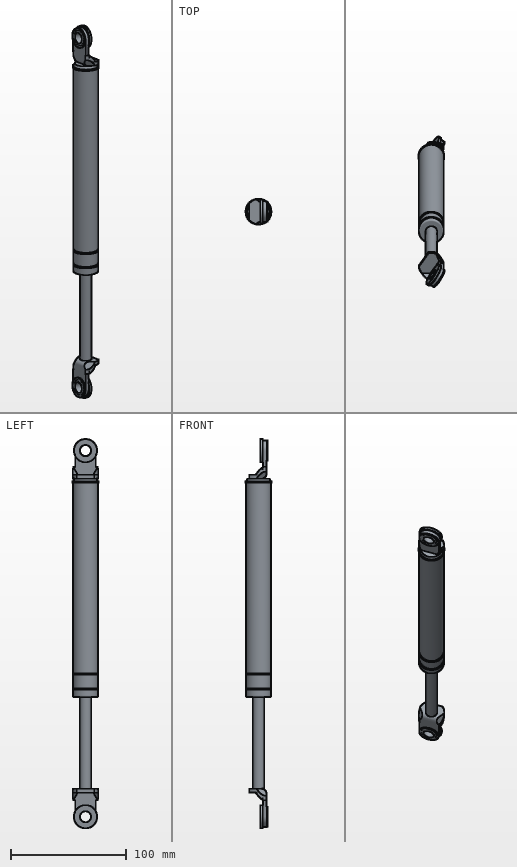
import cadquery as cq

total_length = 336.0
mid_height = total_length / 2

tube_radius = 10.92
tube_bottom = 113.2
shoulder_width = 2.7
shoulder_height = 1.5
collar_radius = 11.25
collar_bottom = 298.0
collar_width = 1.5
bottom_round = 1.5
groove_heights = (120.3, 133.0)
groove_width = 1.5
groove_depth = 0.5

rod_radius = 5.0

flange_radius = 10.0
flange_thickness = 2.5
lip_radius = 8.7
lip_thickness = 1.0
barrel_radius = 6.7
eye_radius = 4.7
eye_height = total_length - flange_radius

sheet = 3.5
base_bottom = 301.7
base_top = base_bottom + sheet
base_radius = 11.0
base_left = -8.0
plate_outer = 7.0
plate_inner = plate_outer - sheet
plate_half_width = 8.9
bend_radius = 4.5
foot_height = 10.0
inner_ear_start = 6.7
outer_ear_start = 5.0
ear_reach_per_y = 1.5
ear_rise_per_y = 1.7
ear_end = 13.5

bracket_low = total_length - base_bottom


def disc_along_x(radius, x_start, x_end):
    """Disc centred on the eye axis."""
    return (
        cq.Workplane("YZ", origin=(x_start, 0, eye_height))
        .circle(radius)
        .extrude(x_end - x_start)
    )


def block(x_start, x_end, half_width, z_start, z_end):
    """Box centred on Y = 0."""
    return (
        cq.Workplane("XY", origin=(0, 0, z_start))
        .moveTo(x_start, -half_width)
        .lineTo(x_end, -half_width)
        .lineTo(x_end, half_width)
        .lineTo(x_start, half_width)
        .close()
        .extrude(z_end - z_start)
    )


def ear_corner(corner_x, corner_z, ear_start):
    """Pyramid that cuts off the end of the bend corner on the +Y side."""
    length = ear_end - ear_start
    apex = cq.Vector(corner_x, ear_start, corner_z)
    corner = cq.Vector(corner_x, ear_end, corner_z)
    reach = cq.Vector(corner_x - ear_reach_per_y * length, ear_end, corner_z)
    rise = cq.Vector(corner_x, ear_end, corner_z + ear_rise_per_y * length)
    triangles = (
        (apex, corner, reach),
        (apex, rise, corner),
        (apex, reach, rise),
        (corner, rise, reach),
    )
    faces = [cq.Face.makeFromWires(cq.Wire.makePolygon(t, close=True)) for t in triangles]
    return cq.Workplane(obj=cq.Solid.makeSolid(cq.Shell.makeShell(faces)))


def cut_ear_corners(body, corner_x, corner_z, ear_start):
    corner = ear_corner(corner_x, corner_z, ear_start)
    return body.cut(corner).cut(corner.mirror("XZ"))


def make_bracket():
    """Upper bracket: round base, folded corner and rounded plate."""
    outside = block(base_left, plate_outer, ear_end, base_bottom, total_length)
    outside = outside.edges("|Y").edges(">X").edges("<Z").fillet(bend_radius)
    outside = cut_ear_corners(outside, plate_outer, base_bottom, outer_ear_start)

    inside = block(base_left, plate_inner, ear_end, base_top, total_length)
    inside = cut_ear_corners(inside, plate_inner, base_top, inner_ear_start)

    foot = (
        cq.Workplane("XY", origin=(0, 0, base_bottom))
        .circle(base_radius)
        .extrude(foot_height)
    )
    plate = block(
        plate_inner, plate_outer, plate_half_width, base_bottom + foot_height, eye_height
    )
    head = disc_along_x(plate_half_width, plate_inner, plate_outer)
    outline = foot.union(plate).union(head)
    eye_seat = disc_along_x(barrel_radius, plate_inner, plate_outer)
    return outside.cut(inside).intersect(outline).cut(eye_seat)


def make_bushing():
    """Upper bushing: wide flange inside, barrel in the plate, narrow lip outside."""
    flange_start = plate_inner - flange_thickness
    lip_end = plate_outer + lip_thickness
    flange = disc_along_x(flange_radius, flange_start, plate_inner)
    barrel = disc_along_x(barrel_radius, plate_inner, plate_outer)
    lip = disc_along_x(lip_radius, plate_outer, lip_end)
    eye = disc_along_x(eye_radius, flange_start, lip_end)
    return flange.union(barrel).union(lip).cut(eye)


def make_tube():
    """Closed cylinder with a sloped shoulder, a collar and two rolled grooves."""
    tube = (
        cq.Workplane("XY", origin=(0, 0, tube_bottom))
        .circle(tube_radius)
        .extrude(base_bottom - tube_bottom)
    )
    tube = tube.faces(">Z").edges().chamfer(shoulder_width, shoulder_height)
    tube = tube.faces("<Z").edges().fillet(bottom_round)
    collar = (
        cq.Workplane("XY", origin=(0, 0, collar_bottom))
        .circle(collar_radius)
        .extrude(collar_width)
    )
    tube = tube.union(collar)
    for height in groove_heights:
        groove = (
            cq.Workplane("XY", origin=(0, 0, height - groove_width / 2))
            .circle(tube_radius)
            .circle(tube_radius - groove_depth)
            .extrude(groove_width)
        )
        tube = tube.cut(groove)
    return tube


def make_rod():
    """Rod from the lower bracket base to the tube end."""
    return (
        cq.Workplane("XY", origin=(0, 0, bracket_low))
        .circle(rod_radius)
        .extrude(tube_bottom - bracket_low)
    )


def at_both_ends(body):
    """The upper body and its mirrored copy at the lower end."""
    lower = body.mirror("XY", (0, 0, mid_height))
    return [body.val(), lower.val()]


tube = make_tube()
rod = make_rod()
end_bodies = []
for upper_body in (make_bracket(), make_bushing()):
    end_bodies.extend(at_both_ends(upper_body))

result = cq.Compound.makeCompound([tube.val(), rod.val(), *end_bodies])